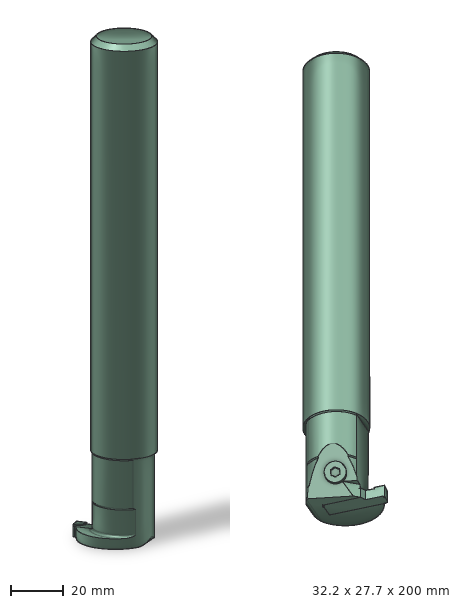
import cadquery as cq
import math

total_length = 200.0
shank_diameter = 25.5
shank_radius = shank_diameter / 2
shank_start = 36.0
shank_end_chamfer = 2.2

neck_radius = 12.5
lower_neck_radius = 12.2
neck_step_height = 16.5
neck_cone_height = 0.5
neck_flat_x = -10.5
neck_fillet = 1.0

foot_diameter = 29.8
foot_radius = foot_diameter / 2
foot_center_x = -3.5
foot_bottom = 0.5
foot_top = 4.8
heel_fillet = 2.5

insert_tip_x = -19.5
insert_tail_x = 4.5
rake_y = 0.2
insert_shoulder_x = -12.0
insert_shoulder_run = 1.2
insert_body_y = 2.5
tip_edge_y = -2.5
tip_relief = 0.2
heel_edge_y = -4.5
heel_relief = 0.5
corner_chamfer_x = 0.8
corner_chamfer_y = 0.5
insert_back_y = heel_edge_y - corner_chamfer_y
land_top = 5.5
land_end_x = -15.5
land_end_y = -1.5
lip_length = 0.5

chip_space_top = 6.5
chip_wall_slope = 0.8

seat_distance = 5.8
seat_normal = cq.Vector(-0.24, 0.93, -0.29)
screw_x = -3.0
screw_z = 9.5
screw_diameter = 8.5
screw_head_height = 2.0
socket_across_corners = 4.0
socket_depth = 1.2

cut_reach = 60.0
seat_cut_width = 28.0


def cylinder(radius, bottom, top, center_x=0):
    return cq.Workplane("XY", origin=(center_x, 0, bottom)).circle(radius).extrude(top - bottom)


def prism(points, bottom, top):
    return cq.Workplane("XY", origin=(0, 0, bottom)).polyline(points).close().extrude(top - bottom)


def block(x_start, x_end, y_start, y_end, bottom, top):
    corners = [(x_start, y_start), (x_end, y_start), (x_end, y_end), (x_start, y_end)]
    return prism(corners, bottom, top)


def make_shank():
    end_radius = shank_radius - shank_end_chamfer
    profile = [
        (0, shank_start),
        (shank_radius, shank_start),
        (shank_radius, total_length - shank_end_chamfer),
        (end_radius, total_length),
        (0, total_length),
    ]
    return cq.Workplane("XZ").polyline(profile).close().revolve(360, (0, 0, 0), (0, 1, 0))


def make_neck_and_foot():
    """Stepped round neck with a flat, blended into a foot, all trimmed to the foot circle."""
    profile = [
        (0, foot_bottom),
        (lower_neck_radius, foot_bottom),
        (lower_neck_radius, neck_step_height - neck_cone_height),
        (neck_radius, neck_step_height),
        (neck_radius, shank_start - neck_cone_height),
        (shank_radius, shank_start),
        (0, shank_start),
    ]
    neck = cq.Workplane("XZ").polyline(profile).close().revolve(360, (0, 0, 0), (0, 1, 0))
    beyond_flat = block(-cut_reach, neck_flat_x, -cut_reach, cut_reach, foot_bottom, shank_start)
    disc = cylinder(2 * foot_radius, foot_bottom, foot_top)
    seam_zone = cq.selectors.BoxSelector(
        (-neck_radius, -neck_radius, foot_top - neck_fillet),
        (neck_radius, neck_radius, foot_top + neck_fillet),
        boundingbox=True,
    )
    blended = neck.cut(beyond_flat).union(disc).edges(seam_zone).fillet(neck_fillet)
    return blended.intersect(cylinder(foot_radius, foot_bottom, shank_start, foot_center_x))


def round_heel(holder):
    """Round the lower edge of the foot across its +X end."""
    end_x = foot_center_x + foot_radius
    diagonal = heel_fillet * (1 - math.sqrt(0.5))
    waste = (
        cq.Workplane("XZ")
        .moveTo(end_x - heel_fillet, foot_bottom)
        .threePointArc((end_x - diagonal, foot_bottom + diagonal), (end_x, foot_bottom + heel_fillet))
        .lineTo(end_x, foot_bottom)
        .close()
        .extrude(cut_reach, both=True)
    )
    return holder.cut(waste)


def insert_outline():
    return [
        (insert_tip_x, rake_y),
        (insert_tip_x + tip_relief, tip_edge_y),
        (insert_tip_x + heel_relief, heel_edge_y),
        (insert_tip_x + heel_relief + corner_chamfer_x, insert_back_y),
        (insert_tail_x, insert_back_y),
        (insert_tail_x, insert_body_y),
        (insert_shoulder_x + insert_shoulder_run, insert_body_y),
        (insert_shoulder_x, rake_y),
    ]


def make_lip(edge_x, edge_y, inward):
    """Small cutting corner below the insert, deepest at its end edge."""
    profile = [(edge_x, foot_bottom), (edge_x, 0), (edge_x + inward * lip_length, foot_bottom)]
    return cq.Workplane("XZ", origin=(0, edge_y, 0)).polyline(profile).close().extrude(lip_length)


def make_insert():
    body = prism(insert_outline(), foot_bottom, foot_top)
    land = prism(
        [
            (insert_tip_x, rake_y),
            (insert_tip_x + tip_relief, tip_edge_y),
            (insert_tip_x + heel_relief, heel_edge_y),
            (land_end_x, land_end_y),
            (land_end_x, rake_y),
        ],
        foot_top,
        land_top,
    )
    tip_lip = make_lip(insert_tip_x, rake_y, 1)
    tail_lip = make_lip(insert_tail_x, insert_body_y, -1)
    return body.union(land).union(tip_lip).union(tail_lip)


def make_chip_space():
    """Open space ahead of the rake face, bounded by an oblique wall."""
    wall_start = (insert_shoulder_x + insert_shoulder_run, insert_body_y)
    wall_end = (cut_reach, insert_body_y + chip_wall_slope * (cut_reach - wall_start[0]))
    return prism(
        [
            (-cut_reach, rake_y),
            (insert_shoulder_x, rake_y),
            wall_start,
            wall_end,
            (-cut_reach, cut_reach),
        ],
        foot_bottom,
        chip_space_top,
    )


def seat_workplane():
    """Workplane on the inclined seat, centred under the screw head and facing outward."""
    normal = seat_normal.normalized()
    seat_y = (seat_distance - normal.x * screw_x - normal.z * screw_z) / normal.y
    along_seat = cq.Vector(0, -normal.z, normal.y)
    return cq.Workplane(cq.Plane((screw_x, seat_y, screw_z), along_seat, normal))


def make_screw_head():
    """Head of the clamp screw, with a hexagon socket."""
    seat = seat_workplane()
    head = seat.circle(screw_diameter / 2).extrude(screw_head_height)
    outer_face = seat.workplane(offset=screw_head_height)
    return head.cut(outer_face.polygon(6, socket_across_corners).extrude(-socket_depth))


def make_insert_pocket():
    """Slot shaped like the insert, with the neck blend cleared away above it."""
    slot = prism(insert_outline(), foot_bottom, foot_top)
    blend_top = foot_top + neck_fillet
    clearance = block(insert_tip_x, neck_flat_x, insert_back_y, insert_body_y, foot_top, blend_top)
    return slot.union(clearance)


def make_holder():
    holder = make_shank().union(make_neck_and_foot())
    holder = round_heel(holder)
    holder = holder.cut(make_chip_space())
    holder = holder.cut(seat_workplane().rect(seat_cut_width, seat_cut_width).extrude(seat_cut_width))
    holder = holder.union(make_screw_head())
    return holder.cut(make_insert_pocket())


holder = make_holder()
insert = make_insert()
result = cq.Compound.makeCompound([holder.val(), insert.val()])